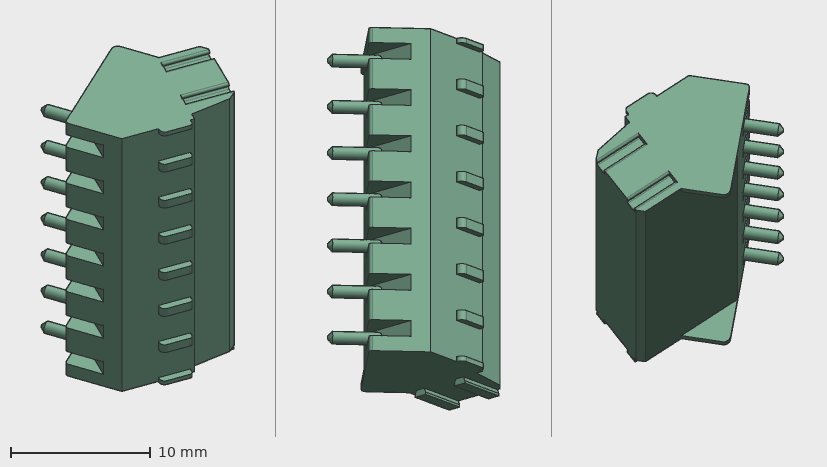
import cadquery as cq
import math

OVERALL_LENGTH = 25.0
PIN_COUNT = 7
PITCH = 3.5
HOUSING_LENGTH = PIN_COUNT * PITCH

BODY_WIDTH = 7.0
HEAD_HEIGHT = 3.7
HEAD_CHAMFER = 0.48
HEAD_TOP_RIGHT = 5.42
HEAD_TAPER_TOP = 5.95
HEAD_TAPER_BOTTOM = 6.45
HEAD_CORNER_DROP = 0.58

WING_REACH = 2.48
WING_CORNER_Y = -2.4
WING_RADIUS = 0.5
WING_THICKNESS = 0.5
TIP_X = 3.88
TIP_RADIUS = 0.25

PIN_DIAMETER = 0.92
PIN_CHAMFER = 0.35
PIN_END = (0.18, -9.05)
PIN_EMBED = 0.5
SLOT_WIDTH = 1.2
SLOT_FLOOR_Y = -6.62

TAB_REACH = 0.52
TAB_TOP_Y = -0.32
TAB_BOTTOM_Y = -2.8
TAB_HEIGHT = 0.75
TAB_TOP_RADIUS = 0.25
TAB_BOTTOM_RADIUS = 0.45

TRACK_CENTRES = (1.1, 4.82)
GROOVE_HALF_MOUTH = 0.55
GROOVE_DEPTH = 0.55
GROOVE_LIP_RADIUS = 0.18
GROOVE_FOOT_RADIUS = 0.12
RAIL_HALF_ROOT = 0.38
RAIL_HALF_FOOT = 0.5
RAIL_FLARE_HEIGHT = 0.32
RAIL_HEIGHT = OVERALL_LENGTH - HOUSING_LENGTH

wall_top_y = WING_CORNER_Y + WING_REACH
wall_bottom_y = WING_CORNER_Y - WING_REACH
tip_y = wall_bottom_y - TIP_X
right_bottom_y = tip_y + BODY_WIDTH - TIP_X
pin_levels = [PITCH * (i + 0.5) for i in range(PIN_COUNT)]
tab_levels = [PITCH * i for i in range(PIN_COUNT + 1)]


def make_housing():
    """Extruded housing with a wing at each end and the side wall set back between them."""
    outline = [
        (0, wall_top_y),
        (0, HEAD_HEIGHT - HEAD_CHAMFER),
        (HEAD_CHAMFER, HEAD_HEIGHT),
        (HEAD_TOP_RIGHT, HEAD_HEIGHT),
        (HEAD_TAPER_TOP, HEAD_HEIGHT - HEAD_CORNER_DROP),
        (HEAD_TAPER_BOTTOM, 0),
        (BODY_WIDTH, 0),
        (BODY_WIDTH, right_bottom_y),
        (TIP_X, tip_y),
        (-WING_REACH, WING_CORNER_Y),
    ]
    housing = cq.Workplane("XY").polyline(outline).close().extrude(HOUSING_LENGTH)
    housing = housing.edges("|Z and <Y").fillet(TIP_RADIUS)
    housing = housing.edges("|Z and <X").fillet(WING_RADIUS)
    recess = cq.Workplane("XY").box(
        WING_REACH,
        wall_top_y - wall_bottom_y,
        HOUSING_LENGTH - 2 * WING_THICKNESS,
        centered=False,
    ).translate((-WING_REACH, wall_bottom_y, WING_THICKNESS))
    return housing.cut(recess)


def make_slot(level):
    """Open slot across the nose with a flat floor facing -Y."""
    return cq.Workplane("XY").box(
        BODY_WIDTH, SLOT_FLOOR_Y - tip_y, SLOT_WIDTH, centered=(False, False, True)
    ).translate((0, tip_y, level))


def make_pin(level):
    """Round pin square to the lower-left nose face, with a conical end."""
    length = (SLOT_FLOOR_Y - PIN_END[1]) * math.sqrt(2) + PIN_EMBED
    plane = cq.Plane(origin=(*PIN_END, level), xDir=(0, 0, 1), normal=(1, 1, 0))
    pin = cq.Workplane(plane).circle(PIN_DIAMETER / 2).extrude(length)
    end_edge = cq.selectors.NearestToPointSelector((*PIN_END, level))
    return pin.edges(end_edge).chamfer(PIN_CHAMFER)


def make_tab(level):
    """Latch tab on the +X wall; tabs at the housing ends keep only their inner half."""
    bottom = max(level - TAB_HEIGHT / 2, 0)
    top = min(level + TAB_HEIGHT / 2, HOUSING_LENGTH)
    outer_x = BODY_WIDTH + TAB_REACH
    tab = cq.Workplane("XY").box(
        outer_x - HEAD_TAPER_BOTTOM, TAB_TOP_Y - TAB_BOTTOM_Y, top - bottom, centered=False
    ).translate((HEAD_TAPER_BOTTOM, TAB_BOTTOM_Y, bottom))
    tab = tab.edges("|Z and >X and >Y").fillet(TAB_TOP_RADIUS)
    return tab.edges("|Z and >X and <Y").fillet(TAB_BOTTOM_RADIUS)


def make_groove(centre):
    """Groove cutter: rounded lips, a narrow throat, then a wider foot with rounded corners."""
    lip, foot = GROOVE_LIP_RADIUS, GROOVE_FOOT_RADIUS
    centre_drop = GROOVE_DEPTH - foot - lip
    centre_shift = math.sqrt((lip + foot) ** 2 - centre_drop ** 2)
    blend = lip / (lip + foot)
    blend_x = GROOVE_HALF_MOUTH - centre_shift * blend
    blend_z = -lip - centre_drop * blend
    throat_x = GROOVE_HALF_MOUTH - lip
    foot_x = GROOVE_HALF_MOUTH - centre_shift
    foot_z = foot - GROOVE_DEPTH
    return (
        cq.Workplane("XZ", origin=(centre, 0, HOUSING_LENGTH))
        .moveTo(-GROOVE_HALF_MOUTH, 0)
        .lineTo(GROOVE_HALF_MOUTH, 0)
        .threePointArc((throat_x, -lip), (blend_x, blend_z))
        .threePointArc((foot_x + foot, foot_z), (foot_x, -GROOVE_DEPTH))
        .lineTo(-foot_x, -GROOVE_DEPTH)
        .threePointArc((-foot_x - foot, foot_z), (-blend_x, blend_z))
        .threePointArc((-throat_x, -lip), (-GROOVE_HALF_MOUTH, 0))
        .close()
        .extrude(-HEAD_HEIGHT)
    )


def make_rail(centre):
    """Dovetail rail under the head, flaring from its root to a straight-sided foot."""
    section = [
        (-RAIL_HALF_ROOT, 0),
        (RAIL_HALF_ROOT, 0),
        (RAIL_HALF_FOOT, -RAIL_FLARE_HEIGHT),
        (RAIL_HALF_FOOT, -RAIL_HEIGHT),
        (-RAIL_HALF_FOOT, -RAIL_HEIGHT),
        (-RAIL_HALF_FOOT, -RAIL_FLARE_HEIGHT),
    ]
    return cq.Workplane("XZ", origin=(centre, 0, 0)).polyline(section).close().extrude(-HEAD_HEIGHT)


result = make_housing()

for level in pin_levels:
    result = result.cut(make_slot(level))
for level in pin_levels:
    result = result.union(make_pin(level))
for level in tab_levels:
    result = result.union(make_tab(level))
for centre in TRACK_CENTRES:
    result = result.cut(make_groove(centre))
    result = result.union(make_rail(centre))